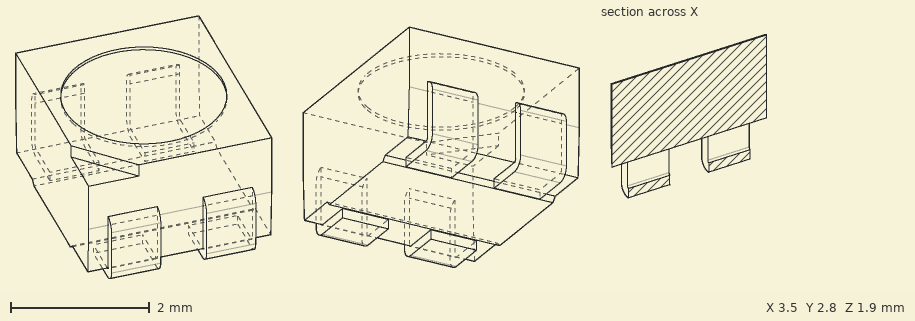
import cadquery as cq

overall_length = 3.5
body_width = 2.8
overall_height = 1.9

lead_thickness = 0.15
lead_width = 0.752
lead_gap = 0.7
lead_top = 1.095
lead_inner_radius = 0.04
lead_outer_radius = lead_inner_radius + lead_thickness
foot_inner_end = 0.952
lead_embed = 0.105

body_half_length = overall_length / 2 - lead_thickness
parting_height = 0.938
end_taper = 0.04
body_bottom = lead_thickness
pad_bottom = 0.077
pad_half_length = 0.8
pad_slope = body_bottom - pad_bottom

window_diameter = 2.4
window_depth = 0.05
corner_leg = 0.765
corner_depth = 0.2


def make_body():
    """Extrude the end-tapered profile, with a raised pad between the feet."""
    bottom_half_length = body_half_length - end_taper
    pad_root = pad_half_length + pad_slope
    right_side = [
        (pad_half_length, pad_bottom),
        (pad_root, body_bottom),
        (bottom_half_length, body_bottom),
        (body_half_length, parting_height),
        (body_half_length, overall_height),
    ]
    left_side = [(-x, z) for x, z in reversed(right_side)]
    profile = cq.Workplane("XZ").polyline(right_side + left_side).close()
    return profile.extrude(body_width / 2, both=True)


def make_window():
    """Shallow round recess in the middle of the top face."""
    return (
        cq.Workplane("XY", origin=(0, 0, overall_height - window_depth))
        .circle(window_diameter / 2)
        .extrude(window_depth)
    )


def make_corner_notch():
    """Triangular polarity step at the +X, -Y corner of the top face."""
    corner_x = body_half_length
    corner_y = -body_width / 2
    return (
        cq.Workplane("XY", origin=(0, 0, overall_height - corner_depth))
        .moveTo(corner_x, corner_y)
        .lineTo(corner_x, corner_y + corner_leg)
        .lineTo(corner_x - corner_leg, corner_y)
        .close()
        .extrude(corner_depth)
    )


def make_lead(y_center):
    """Lead at the +X end: leaves the body, runs down and folds under it."""
    outer_x = overall_length / 2
    inner_x = body_half_length
    embedded_x = inner_x - lead_embed
    bend_x = outer_x - lead_outer_radius
    bend_z = lead_outer_radius
    shoulder_z = lead_top - lead_outer_radius
    embedded_bottom = lead_top - lead_thickness
    diagonal = 0.5 ** 0.5
    outer_offset = lead_outer_radius * diagonal
    inner_offset = lead_inner_radius * diagonal
    return (
        cq.Workplane("XZ", origin=(0, y_center, 0))
        .moveTo(foot_inner_end, 0)
        .lineTo(bend_x, 0)
        .threePointArc((bend_x + outer_offset, bend_z - outer_offset), (outer_x, bend_z))
        .lineTo(outer_x, shoulder_z)
        .threePointArc((bend_x + outer_offset, shoulder_z + outer_offset), (bend_x, lead_top))
        .lineTo(embedded_x, lead_top)
        .lineTo(embedded_x, embedded_bottom)
        .lineTo(inner_x, embedded_bottom)
        .lineTo(inner_x, bend_z)
        .threePointArc((bend_x + inner_offset, bend_z - inner_offset), (bend_x, lead_thickness))
        .lineTo(foot_inner_end, lead_thickness)
        .close()
        .extrude(lead_width / 2, both=True)
    )


result = make_body().cut(make_window()).cut(make_corner_notch())

lead_pitch = lead_width + lead_gap
for side in (-1, 1):
    lead = make_lead(side * lead_pitch / 2)
    result = result.union(lead).union(lead.mirror("YZ"))